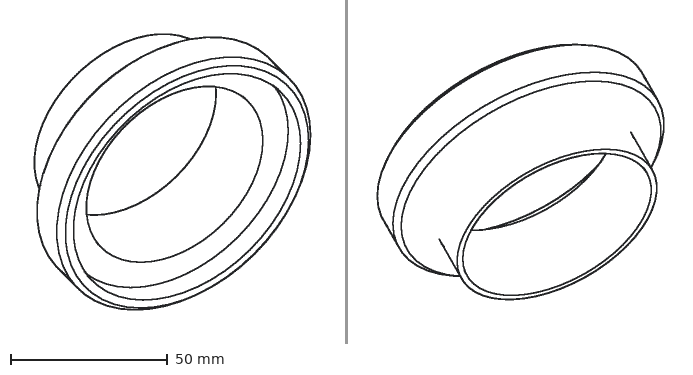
import cadquery as cq

flange_diameter = 95.0
sleeve_diameter = 70.0
bore_diameter = 66.0
total_length = 36.0
flange_thickness = 16.1
rim_chamfer = 2.0
root_fillet = 4.0
recess_diameter = 85.0
recess_depth = 7.5

sleeve_length = total_length - flange_thickness


def disc(diameter, start, length):
    """Solid cylinder along +X, beginning at x = start."""
    return cq.Workplane("YZ", origin=(start, 0, 0)).circle(diameter / 2).extrude(length)


flange = disc(flange_diameter, sleeve_length, flange_thickness).edges().chamfer(rim_chamfer)

sleeve = disc(sleeve_diameter, 0, sleeve_length)
body = flange.union(sleeve)
root_edge = cq.selectors.BoxSelector(
    (sleeve_length - root_fillet / 2, -sleeve_diameter, -sleeve_diameter),
    (sleeve_length + root_fillet / 2, sleeve_diameter, sleeve_diameter),
)
body = body.edges(root_edge).edges(cq.selectors.RadiusNthSelector(0)).fillet(root_fillet)

body = body.cut(disc(bore_diameter, 0, total_length))
result = body.cut(disc(recess_diameter, total_length - recess_depth, recess_depth))